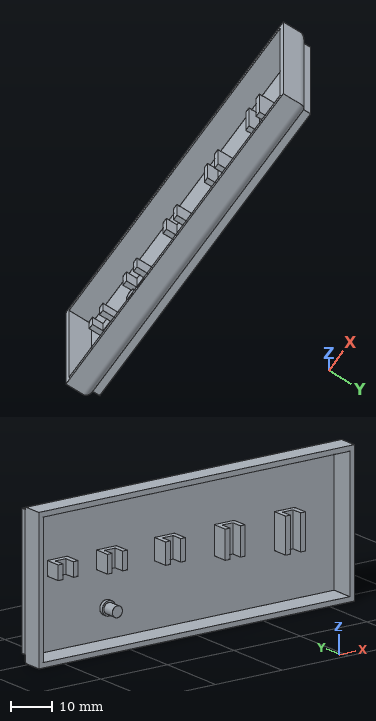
import cadquery as cq

TRAY_LENGTH = 95.0
TRAY_HEIGHT = 40.0
TRAY_WALL = 1.4
CAVITY_DEPTH = 6.6
BACK_ROUNDING = 2.0

PLUG_LENGTH = TRAY_LENGTH - 2 * TRAY_WALL
PLUG_HEIGHT = TRAY_HEIGHT - 2 * TRAY_WALL
PLUG_DEPTH = 2.0
TOTAL_DEPTH = 9.0
TRAY_DEPTH = TOTAL_DEPTH - PLUG_DEPTH

CLIP_WALL = 1.4
CLIP_SLOT = 3.1
CLIP_WIDTH = CLIP_SLOT + 2 * CLIP_WALL
CLIP_DEPTH = 4.6
CLIP_TOP_Z = 4.75
CLIPS = [(-37.2, 4.0), (-22.4, 5.0), (-4.9, 6.0), (13.0, 8.0), (31.2, 10.0)]

PEG_X = -22.4
PEG_Z = -10.45
PEG_DIAMETER = 3.0
PEG_LENGTH = 4.6
SHOULDER_DIAMETER = 4.0
SHOULDER_LENGTH = 1.0


def block(length, height, front_y, back_y, x=0.0, z=0.0):
    """A box centred at (x, z) that spans front_y to back_y."""
    return (
        cq.Workplane("XY")
        .box(length, back_y - front_y, height)
        .translate((x, (front_y + back_y) / 2, z))
    )


def floor_disc(diameter, length):
    """A cylinder at the peg position, rising from the cavity floor toward -Y."""
    return (
        cq.Workplane("XZ", origin=(PEG_X, CAVITY_DEPTH, PEG_Z))
        .circle(diameter / 2)
        .extrude(length)
    )


def make_tray_shell():
    """The rounded tray with its plug and its cavity."""
    outside = block(TRAY_LENGTH, TRAY_HEIGHT, 0, TRAY_DEPTH)
    outside = outside.faces(">Y").edges().fillet(BACK_ROUNDING)
    plug = block(PLUG_LENGTH, PLUG_HEIGHT, CAVITY_DEPTH, TOTAL_DEPTH)
    cavity = block(PLUG_LENGTH, PLUG_HEIGHT, 0, CAVITY_DEPTH)
    return outside.union(plug).cut(cavity)


def make_clip(x, length):
    """A U-shaped channel along Z, open toward -Y."""
    z = CLIP_TOP_Z - length / 2
    front_y = CAVITY_DEPTH - CLIP_DEPTH
    outside = block(CLIP_WIDTH, length, front_y, CAVITY_DEPTH, x, z)
    slot = block(CLIP_SLOT, length, front_y, CAVITY_DEPTH - CLIP_WALL, x, z)
    return outside.cut(slot)


def make_peg():
    """A round peg with a wider shoulder at its foot."""
    shoulder = floor_disc(SHOULDER_DIAMETER, SHOULDER_LENGTH)
    return shoulder.union(floor_disc(PEG_DIAMETER, PEG_LENGTH))


tray = make_tray_shell().union(make_peg())
for clip_x, clip_length in CLIPS:
    tray = tray.union(make_clip(clip_x, clip_length))

result = cq.Compound.makeCompound([tray.val()])